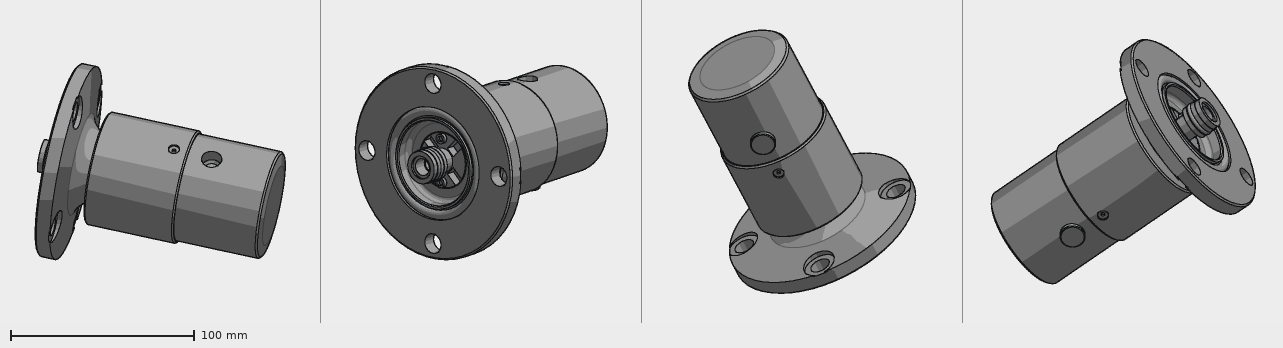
import cadquery as cq


total_length = 131.2
tube_tip = -10.8
rear_end = tube_tip + total_length
over_cut = 1.3

flange_dia = 108.0
flange_edge = 8.7
flange_chamfer = 0.9
taper_end = 11.7
taper_end_radius = 28.5
neck_mid = 15.7
neck_mid_radius = 22.0
neck_radius = 18.6
neck_end = 21.5

bolt_hole_dia = 11.0
bolt_count = 4
bolt_circle_dia = 90.5
spotface_dia = 18.2
spotface_floor = 8.0

bead_half_width = 2.6
bead_height = 1.8
bead_centre_radius = 29.1
lip_radius = 25.6

recess_dia = 47.6
recess_lead_in = 0.5
recess_lead_in_depth = 0.8
recess_depth = 8.9
recess_fillet = 2.9

carrier_dia = 31.0
carrier_gap = 0.4
carrier_gap_depth = 0.7
slot_count = 4
slot_width = 5.8
slot_inner_radius = 7.3
slot_depth = 5.5
pin_dia = 5.5
pin_height = 2.4
pin_offset = 12.5
pin_socket_dia = 3.0
pin_socket_depth = 1.3

tube_nose_dia = 18.2
tube_nose_length = 3.0
tube_head_dia = 19.0
tube_head_length = 11.3
tube_bead_dia = 19.8
tube_bead_start = 5.8
tube_bead_width = 2.9
tube_neck_dia = 13.6
bore_dia = 9.5
bore_depth = 9.2
inner_bore_dia = 8.0
inner_bore_depth = 26.2
counterbore_dia = 12.9
counterbore_depth = 1.3

barrel_dia = 63.0
barrel_end = 72.3
barrel_chamfer = 0.9
rear_dia = 59.8
rear_chamfer = 1.0
rear_barrel_end = 119.4
end_face_dia = 44.6

port_x = 85.5
port_dia = 11.0
port_depth = 7.9
port_floor_dia = 8.0
boss_dia = 13.8
boss_bottom = -32.1
boss_chamfer = 0.5

vent_x = 64.1
vent_dia = 6.0
vent_depth = 1.3
vent_pilot_dia = 2.1
vent_pilot_depth = 1.3


def disc(diameter, start, end):
    """Cylinder on the X axis from x = start to x = end."""
    return cq.Workplane("YZ", origin=(start, 0, 0)).circle(diameter / 2).extrude(end - start)


def spin(profile):
    """Revolve an (x, radius) outline about the X axis."""
    return profile.close().revolve(360, (0, 0, 0), (1, 0, 0))


def bolt_pattern(diameter, start):
    """Cylinders on the bolt circle, from x = start to the end of the tapered back."""
    return (
        cq.Workplane("YZ", origin=(start, 0, 0))
        .polarArray(bolt_circle_dia / 2, 0, 360, bolt_count)
        .circle(diameter / 2)
        .extrude(taper_end - start)
    )


def make_flange():
    """Flange and flared neck, with the bead groove and the stepped recess in its face."""
    rim = flange_dia / 2
    recess_radius = recess_dia / 2
    bead_outer = bead_centre_radius + bead_half_width
    bead_inner = bead_centre_radius - bead_half_width
    profile = (
        cq.Workplane("XY")
        .moveTo(recess_depth, 0)
        .lineTo(recess_depth, recess_radius - recess_fillet)
        .radiusArc((recess_depth - recess_fillet, recess_radius), -recess_fillet)
        .lineTo(recess_lead_in_depth, recess_radius)
        .lineTo(0, recess_radius + recess_lead_in)
        .lineTo(0, lip_radius)
        .lineTo(bead_height, lip_radius)
        .lineTo(bead_height, bead_inner)
        .threePointArc((0, bead_centre_radius), (bead_height, bead_outer))
        .lineTo(0, bead_outer)
        .lineTo(0, rim - flange_chamfer)
        .lineTo(flange_chamfer, rim)
        .lineTo(flange_edge, rim)
        .lineTo(taper_end, taper_end_radius)
        .threePointArc((neck_mid, neck_mid_radius), (neck_end, neck_radius))
        .lineTo(neck_end, 0)
    )
    bolt_holes = bolt_pattern(bolt_hole_dia, 0)
    spotfaces = bolt_pattern(spotface_dia, spotface_floor)
    return spin(profile).cut(bolt_holes).cut(spotfaces)


def cut_carrier(body):
    """Gap ring around the seal carrier and four radial slots in its face."""
    gap_end = recess_depth + carrier_gap_depth
    gap_ring = disc(carrier_dia + 2 * carrier_gap, recess_depth, gap_end).cut(
        disc(carrier_dia, recess_depth, gap_end)
    )
    body = body.cut(gap_ring)

    slot_length = carrier_dia / 2 - slot_inner_radius
    slot_face = cq.Workplane("YZ", origin=(recess_depth, 0, 0))
    slot_blank = (
        slot_face.center(slot_inner_radius + slot_length / 2, 0)
        .rect(slot_length, slot_width)
        .extrude(slot_depth)
    )
    for index in range(slot_count):
        angle = (index + 0.5) * 360 / slot_count
        body = body.cut(slot_blank.rotate((0, 0, 0), (1, 0, 0), angle))
    return body


def add_pins(body):
    """Two socketed pins standing on the seal carrier."""
    pin_face = recess_depth - pin_height
    for side in (-1, 1):
        pin_top = cq.Workplane("YZ", origin=(pin_face, 0, side * pin_offset))
        body = body.union(pin_top.circle(pin_dia / 2).extrude(pin_height + over_cut))
        body = body.cut(pin_top.circle(pin_socket_dia / 2).extrude(pin_socket_depth))
    return body


def make_tube():
    """Tube with a stepped head, a rounded seal bead and a stepped blind bore."""
    nose_end = tube_tip + tube_nose_length
    head_end = tube_tip + tube_head_length
    bead_start = tube_tip + tube_bead_start
    bead_end = bead_start + tube_bead_width
    bore_step = tube_tip + counterbore_depth
    bore_end = tube_tip + bore_depth
    bore_floor = tube_tip + inner_bore_depth
    bead_base = tube_bead_dia / 2 - tube_bead_width / 2
    profile = (
        cq.Workplane("XY")
        .moveTo(bore_floor, 0)
        .lineTo(bore_floor, inner_bore_dia / 2)
        .lineTo(bore_end, inner_bore_dia / 2)
        .lineTo(bore_end, bore_dia / 2)
        .lineTo(bore_step, bore_dia / 2)
        .lineTo(bore_step, counterbore_dia / 2)
        .lineTo(tube_tip, counterbore_dia / 2)
        .lineTo(tube_tip, tube_nose_dia / 2)
        .lineTo(nose_end, tube_nose_dia / 2)
        .lineTo(nose_end, tube_head_dia / 2)
        .lineTo(bead_start, tube_head_dia / 2)
        .lineTo(bead_start, bead_base)
        .threePointArc(((bead_start + bead_end) / 2, tube_bead_dia / 2), (bead_end, bead_base))
        .lineTo(bead_end, tube_head_dia / 2)
        .lineTo(head_end, tube_head_dia / 2)
        .lineTo(head_end, tube_neck_dia / 2)
        .lineTo(neck_end, tube_neck_dia / 2)
        .lineTo(neck_end, 0)
    )
    return spin(profile)


def make_rotor():
    """Flange, seal carrier, pins and tube as one solid."""
    body = add_pins(cut_carrier(make_flange()))
    tube_space = disc(tube_neck_dia, recess_depth, neck_end)
    return body.cut(tube_space).union(make_tube())


def make_housing_shell():
    """Two-step barrel closed by a shallow conical end."""
    barrel = barrel_dia / 2
    rear = rear_dia / 2
    profile = (
        cq.Workplane("XY")
        .moveTo(neck_end, 0)
        .lineTo(neck_end, barrel - barrel_chamfer)
        .lineTo(neck_end + barrel_chamfer, barrel)
        .lineTo(barrel_end - barrel_chamfer, barrel)
        .lineTo(barrel_end, barrel - barrel_chamfer)
        .lineTo(barrel_end, rear)
        .lineTo(rear_barrel_end - rear_chamfer, rear)
        .lineTo(rear_barrel_end, rear - rear_chamfer)
        .lineTo(rear_end, end_face_dia / 2)
        .lineTo(rear_end, 0)
    )
    return spin(profile)


def make_port():
    """Cutter for the air port: a straight hole with a conical bottom."""
    top = rear_dia / 2
    cone_depth = (port_dia - port_floor_dia) / 2
    profile = (
        cq.Workplane("XZ", origin=(port_x, 0, 0))
        .moveTo(0, top + over_cut)
        .lineTo(port_dia / 2, top + over_cut)
        .lineTo(port_dia / 2, top - port_depth)
        .lineTo(port_floor_dia / 2, top - port_depth - cone_depth)
        .lineTo(0, top - port_depth - cone_depth)
        .close()
    )
    return profile.revolve(360, (0, 0, 0), (0, 1, 0))


def make_vent():
    """Cutter for a counterbored vent in the top of the large barrel."""
    floor = barrel_dia / 2 - vent_depth
    vent_floor = cq.Workplane("XY", origin=(vent_x, 0, floor))
    bore = vent_floor.circle(vent_dia / 2).extrude(vent_depth + over_cut)
    pilot = vent_floor.circle(vent_pilot_dia / 2).extrude(-vent_pilot_depth)
    return bore.union(pilot)


def make_boss():
    """Round boss under the rear barrel, opposite the air port, reaching in to the axis height."""
    boss = cq.Workplane("XY", origin=(port_x, 0, boss_bottom)).circle(boss_dia / 2).extrude(-boss_bottom)
    return boss.faces("<Z").chamfer(boss_chamfer)


def make_housing():
    vent = make_vent()
    opposite_vent = vent.rotate((0, 0, 0), (1, 0, 0), 180)
    shell = make_housing_shell().union(make_boss())
    return shell.cut(make_port()).cut(vent).cut(opposite_vent)


rotor = make_rotor()
housing = make_housing()
result = cq.Compound.makeCompound([rotor.val(), housing.val()])